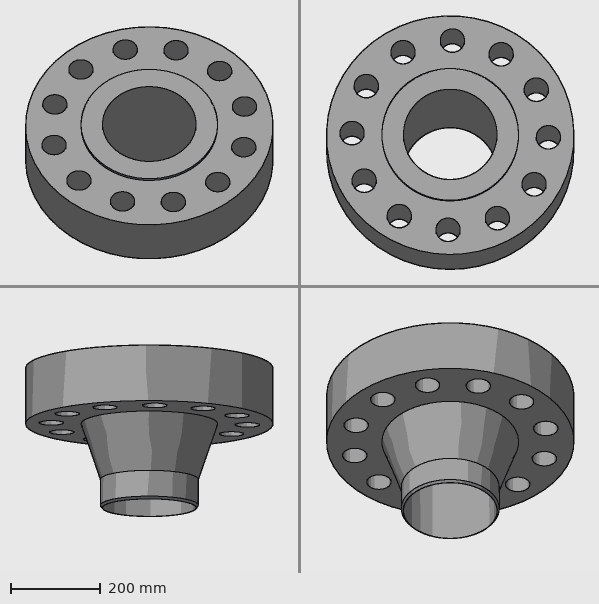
import cadquery as cq

flange_diameter = 552.5
total_height = 324.0

flange_thickness = 126.5
raised_face_diameter = 305.0
raised_face_height = 6.5

hub_diameter = 305.0
neck_diameter = 219.0
neck_height = 64.0
bore_diameter = 209.0
bevel_width = 4.5
bevel_height = 5.5

bolt_hole_count = 12
bolt_hole_diameter = 54.0
bolt_circle_diameter = 438.0
first_bolt_angle = 180 / bolt_hole_count

flange_top = total_height - raised_face_height
flange_bottom = flange_top - flange_thickness


def make_body():
    """Revolve the half section of the flange, hub and neck about Z."""
    bore_radius = bore_diameter / 2
    neck_radius = neck_diameter / 2
    section = [
        (bore_radius, 0),
        (neck_radius - bevel_width, 0),
        (neck_radius, bevel_height),
        (neck_radius, neck_height),
        (hub_diameter / 2, flange_bottom),
        (flange_diameter / 2, flange_bottom),
        (flange_diameter / 2, flange_top),
        (raised_face_diameter / 2, flange_top),
        (raised_face_diameter / 2, total_height),
        (bore_radius, total_height),
    ]
    return cq.Workplane("XZ").polyline(section).close().revolve(360, (0, 0), (0, 1))


def make_bolt_holes():
    """Ring of cylinders that passes through the flange."""
    return (
        cq.Workplane("XY")
        .workplane(offset=flange_bottom)
        .polarArray(bolt_circle_diameter / 2, first_bolt_angle, 360, bolt_hole_count)
        .circle(bolt_hole_diameter / 2)
        .extrude(flange_thickness)
    )


result = make_body().cut(make_bolt_holes())